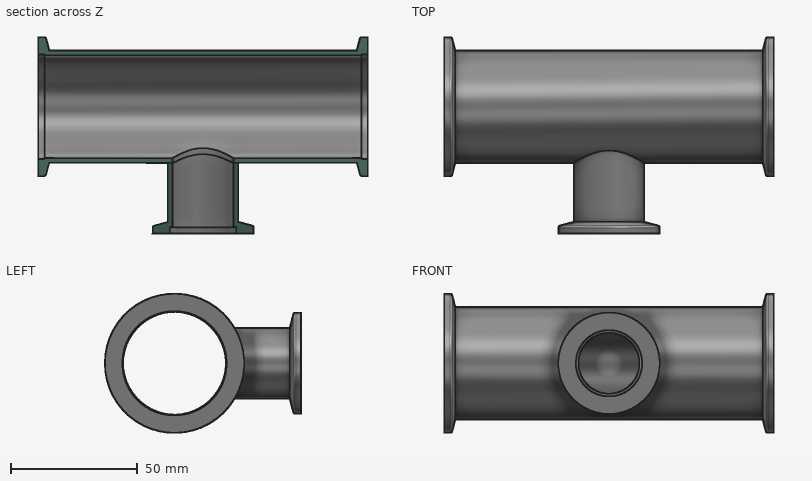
import cadquery as cq
import math


main_length = 130.0
main_outer_radius = 44.5 / 2
main_bore_radius = 40.5 / 2
main_flange_radius = 55.0 / 2
main_recess_radius = 41.2 / 2

branch_reach = 50.0
branch_outer_radius = 28.0 / 2
branch_bore_radius = 24.0 / 2
branch_flange_radius = 40.0 / 2
branch_recess_radius = 26.2 / 2

rim_thickness = 3.0
rim_fillet = 1.0
cone_angle = math.radians(15)
recess_depth = 2.5
recess_fillet = 0.3

left_end = cq.Plane(origin=(-main_length / 2, 0, 0), xDir=(0, 1, 0), normal=(1, 0, 0))
right_end = cq.Plane(origin=(main_length / 2, 0, 0), xDir=(0, 1, 0), normal=(-1, 0, 0))
branch_end = cq.Plane(origin=(0, -branch_reach, 0), xDir=(1, 0, 0), normal=(0, 1, 0))


def cylinder(end, radius, length):
    """Solid cylinder running inward from a pipe end."""
    return cq.Workplane(end).circle(radius).extrude(length)


def recess_cutter(end, radius):
    """Centring-ring recess, rounded where its wall meets its floor."""
    blank = cq.Workplane("XY").circle(radius).extrude(recess_depth)
    cutter = blank.faces(">Z").edges().fillet(recess_fillet)
    return cq.Workplane(cutter.val().located(cq.Location(end)))


def flanged_bar(end, flange_radius, pipe_radius, length):
    """Solid bar of the pipe radius with a clamp flange at the given end."""
    cone_end = rim_thickness + (flange_radius - pipe_radius) * math.tan(cone_angle)

    half_sweep = (math.pi / 2 - cone_angle) / 2
    tangent_length = rim_fillet * math.tan(half_sweep)
    arc_start = (flange_radius, rim_thickness - tangent_length)
    arc_end = (
        flange_radius - tangent_length * math.cos(cone_angle),
        rim_thickness + tangent_length * math.sin(cone_angle),
    )
    arc_middle = (
        flange_radius - rim_fillet * (1 - math.cos(half_sweep)),
        arc_start[1] + rim_fillet * math.sin(half_sweep),
    )

    half_section = (
        cq.Workplane("XZ")
        .lineTo(flange_radius, 0)
        .lineTo(*arc_start)
        .threePointArc(arc_middle, arc_end)
        .lineTo(pipe_radius, cone_end)
        .lineTo(pipe_radius, length)
        .lineTo(0, length)
        .close()
    )
    bar = half_section.revolve(360, (0, 0, 0), (0, 1, 0))
    return cq.Workplane(bar.val().located(cq.Location(end)))


def build_main_pipe():
    """Main pipe with a flange on both ends and a side opening for the branch."""
    left_half = flanged_bar(left_end, main_flange_radius, main_outer_radius, main_length / 2)
    right_half = flanged_bar(right_end, main_flange_radius, main_outer_radius, main_length / 2)
    pipe = left_half.union(right_half)
    pipe = pipe.cut(cylinder(left_end, main_bore_radius, main_length))
    for end in (left_end, right_end):
        pipe = pipe.cut(recess_cutter(end, main_recess_radius))
    return pipe.cut(cylinder(branch_end, branch_bore_radius, branch_reach))


def build_branch():
    """Flanged branch pipe, coped to sit on the outside of the main pipe."""
    pipe = flanged_bar(branch_end, branch_flange_radius, branch_outer_radius, branch_reach)
    pipe = pipe.cut(cylinder(left_end, main_outer_radius, main_length))
    pipe = pipe.cut(cylinder(branch_end, branch_bore_radius, branch_reach))
    return pipe.cut(recess_cutter(branch_end, branch_recess_radius))


main_pipe = build_main_pipe()
branch = build_branch()

result = cq.Compound.makeCompound([main_pipe.solids().val(), branch.solids().val()])